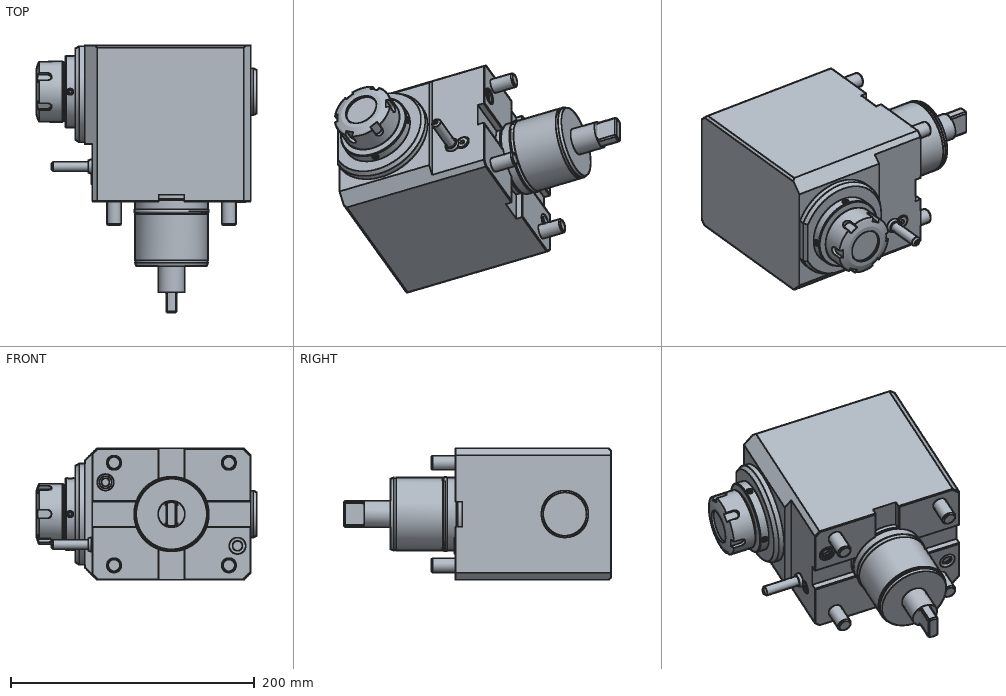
import cadquery as cq
import math


height = 108.0
half_height = height / 2
depth = 128.0
half_width = 65.0
shoulder_x = -71.0
shoulder_y = 47.0
left_chamfer = 10.0
right_chamfer = 6.0
back_chamfer = 2.0
face_chamfer = 0.7
key_width = 20.5
key_depth = 5.7

bolt_x = 47.0
bolt_z = 42.0
bolt_radius = 6.0
bolt_length = 19.5
bolt_chamfer = 1.0

port_x = 54.0
port_z = 26.0
port_rim_radius = 6.8
port_steps = [(port_rim_radius, 0.5), (5.0, 2.2), (3.3, 4.4)]
seal_radius = 5.5
seal_section = 1.42
seal_sink = 0.7
seal_port_depth = 4.4

coupling_radius = 30.0
coupling_end = -53.0
coupling_end_taper = 1.0
collar_chamfer_start = 2.2
collar_end = 1.0
collar_chamfer_height = 0.9
seal_groove = (-6.4, -10.3)
seal_groove_radius = 27.4
ring_section = 1.65
ring_center_y = -7.9
ring_outer_radius = 30.7
clip_groove = (-48.2, -50.4)
clip_groove_depth = 0.5

shaft_radius = 11.0
shaft_end = -74.5
total_length = 219
tang_end = depth - total_length
tang_radius = 10.7
tang_thickness = 8.8
tang_chamfer = 1.0
tang_root_fillet = 0.9

chuck_y = 90.0
flange_x = -79.0
flange_radius = 41.6
flange_flat_inset = 0.5
flange_flat_y = depth - flange_flat_inset
flange_chamfer_length = 3.5
flange_chamfer_height = 2.2
ring_x = -87.0
ring_radius = 29.5
ring_chamfer = 0.7
neck_radius = 20.5
nut_back_x = -88.5
grub_x = (flange_x + ring_x) / 2
grub_count = 4
grub_radius = 2.6
grub_socket_radius = 1.3
grub_recess = 0.7
grub_socket_depth = 2.2

nut_face_x = -111.0
nut_radius = 25.0
nut_rim_radius = 23.5
nut_rim_x = -109.3
nut_edge_chamfer = 0.9
nut_face_radius = 18.0
nut_mouth_radius = 13.8
nut_mouth_depth = 2.0
slot_count = 6
slot_width = 7.0
slot_end_x = -98.3
slot_floor_radius = 21.7

cap_x = 70.0
cap_radius = 19.3
cap_chamfer_length = 2.8
cap_chamfer_height = 1.5

nozzle_z = -25.0
nozzle_y = 28.7
nozzle_tip_x = -98.5
nozzle_radius = 4.0
nozzle_tip_chamfer = 1.8
nozzle_bore_radius = 2.0
nozzle_bore_depth = 2.2
nozzle_ball_radius = 6.0
nozzle_collar = 3.0
plug_y = 19.5
plug_radius = 5.7
plug_top_radius = 4.8
plug_height = 0.7
plug_hole_radius = 1.65
seat_depth = 2.2
seat_x = seat_depth - half_width


def turned_x(points, y=chuck_y, z=0):
    """Solid of revolution about an axis along X; points are (x, radius)."""
    profile = cq.Workplane("XY").polyline([(points[0][0], 0), *points, (points[-1][0], 0)]).close()
    return profile.revolve(360, (0, 0, 0), (1, 0, 0)).translate((0, y, z))


def turned_y(points, x=0, z=0):
    """Solid of revolution about an axis along Y; points are (radius, y)."""
    profile = cq.Workplane("XY").polyline([(0, points[0][1]), *points, (0, points[-1][1])]).close()
    return profile.revolve(360, (0, 0, 0), (0, 1, 0)).translate((x, 0, z))


def torus_y(radius, section, x, y, z):
    """Seal ring about an axis along Y."""
    return cq.Workplane(cq.Solid.makeTorus(radius, section, cq.Vector(x, y, z), cq.Vector(0, 1, 0)))


def box_between(low, high):
    """Box spanned by two opposite corners."""
    size = [b - a for a, b in zip(low, high)]
    return cq.Workplane("XY").box(*size, centered=False).translate(low)


def make_block():
    """Chamfered block with a shoulder on the left and crossed keyways in the mounting face."""
    block = box_between((shoulder_x, 0, -half_height), (half_width, depth, half_height))
    block = block.edges("|Y and <X").chamfer(left_chamfer)
    block = block.edges("|Y and >X").chamfer(right_chamfer)
    block = block.faces(">Y").edges("|X").chamfer(back_chamfer)
    block = block.cut(box_between((shoulder_x, 0, -half_height), (-half_width, shoulder_y, half_height)))
    half_key = key_width / 2
    block = block.cut(box_between((shoulder_x, 0, -half_key), (half_width, key_depth, half_key)))
    block = block.cut(box_between((-half_key, 0, -half_height), (half_key, key_depth, half_height)))
    return block.faces("<Y").edges().chamfer(face_chamfer)


def make_bolts():
    """Four bolt ends standing out of the mounting face."""
    bolt = turned_y([
        (bolt_radius, key_depth),
        (bolt_radius, bolt_chamfer - bolt_length),
        (bolt_radius - bolt_chamfer, -bolt_length),
    ])
    bolts = cq.Workplane("XY")
    for x in (-bolt_x, bolt_x):
        for z in (-bolt_z, bolt_z):
            bolts = bolts.add(bolt.translate((x, 0, z)))
    return bolts.combine()


def add_ports(body):
    """Open stepped port at the upper left, port with a seal ring at the lower right."""
    for radius, port_depth in port_steps:
        body = body.cut(turned_y([(radius, 0), (radius, port_depth)], -port_x, port_z))
    body = body.cut(turned_y([(seal_radius, 0), (seal_radius, seal_port_depth)], port_x, -port_z))
    return body.union(torus_y(seal_radius, seal_section, port_x, seal_sink, -port_z))


def make_coupling():
    """Round coupling with a seal ring in its groove, a clip groove and a tapered end."""
    groove_start, groove_end = seal_groove
    clip_start, clip_end = clip_groove
    clip_radius = coupling_radius - clip_groove_depth
    coupling = turned_y([
        (coupling_radius, key_depth),
        (coupling_radius, collar_chamfer_start),
        (coupling_radius - collar_chamfer_height, collar_end),
        (coupling_radius, collar_end),
        (coupling_radius, groove_start),
        (seal_groove_radius, groove_start),
        (seal_groove_radius, groove_end),
        (coupling_radius, groove_end),
        (coupling_radius, clip_start),
        (clip_radius, clip_start),
        (clip_radius, clip_end),
        (coupling_radius, clip_end),
        (coupling_radius - coupling_end_taper, coupling_end),
    ])
    return coupling.union(torus_y(ring_outer_radius - ring_section, ring_section, 0, ring_center_y, 0))


def make_shaft():
    """Drive shaft ending in a chamfered tang with filleted roots."""
    shaft = turned_y([(shaft_radius, coupling_end), (shaft_radius, shaft_end)])
    half_tang = tang_thickness / 2
    tang = turned_y([(tang_radius, shaft_end), (tang_radius, tang_end)])
    tang = tang.intersect(box_between(
        (-half_tang, tang_end, -tang_radius),
        (half_tang, shaft_end, tang_radius),
    ))
    tang = tang.edges("|Y or <Y").chamfer(tang_chamfer)
    shaft = shaft.union(tang)
    root_edges = cq.selectors.BoxSelector(
        (-half_tang - tang_root_fillet, shaft_end - tang_root_fillet, -shaft_radius),
        (half_tang + tang_root_fillet, shaft_end + tang_root_fillet, shaft_radius),
    )
    return shaft.edges("|Z").edges(root_edges).fillet(tang_root_fillet)


def make_spindle():
    """Flange with a flat near the housing back, grub screw ring and neck."""
    flange = turned_x([(-half_width, flange_radius), (flange_x, flange_radius)])
    flat_cut = box_between(
        (flange_x, flange_flat_y, -flange_radius),
        (-half_width, chuck_y + flange_radius, flange_radius),
    )
    flange = flange.cut(flat_cut)
    flange = flange.faces("<X").edges().chamfer(flange_chamfer_length, flange_chamfer_height)
    ring = turned_x([
        (flange_x, ring_radius),
        (ring_x + ring_chamfer, ring_radius),
        (ring_x, ring_radius - ring_chamfer),
    ])
    for index in range(grub_count):
        angle = index * 360 / grub_count
        for radius, hole_depth in ((grub_radius, grub_recess), (grub_socket_radius, grub_socket_depth)):
            hole = cq.Workplane("XY").circle(radius).extrude(-hole_depth)
            hole = hole.translate((grub_x, chuck_y, ring_radius))
            ring = ring.cut(hole.rotate((0, chuck_y, 0), (1, chuck_y, 0), angle))
    neck = turned_x([(ring_x, neck_radius), (nut_back_x, neck_radius)])
    return flange.union(ring).union(neck)


def make_cap():
    """Chamfered round cap on the right side."""
    return turned_x([
        (half_width, cap_radius),
        (cap_x - cap_chamfer_length, cap_radius),
        (cap_x, cap_radius - cap_chamfer_height),
    ])


def make_nozzle():
    """Coolant pipe standing on a truncated ball."""
    pipe = turned_x([
        (-half_width, nozzle_radius),
        (nozzle_tip_x + nozzle_tip_chamfer, nozzle_radius),
        (nozzle_tip_x, nozzle_radius - nozzle_tip_chamfer),
    ], nozzle_y, nozzle_z)
    bore = turned_x([
        (nozzle_tip_x, nozzle_bore_radius),
        (nozzle_tip_x + nozzle_bore_depth, nozzle_bore_radius),
    ], nozzle_y, nozzle_z)
    collar_x = -half_width - nozzle_collar
    collar_radius = math.sqrt(nozzle_ball_radius ** 2 - nozzle_collar ** 2)
    half_angle = math.asin(nozzle_collar / nozzle_ball_radius) / 2
    arc_middle = (
        -half_width - nozzle_ball_radius * math.sin(half_angle),
        nozzle_ball_radius * math.cos(half_angle),
    )
    ball = (
        cq.Workplane("XY")
        .moveTo(seat_x, 0)
        .lineTo(seat_x, nozzle_ball_radius)
        .lineTo(-half_width, nozzle_ball_radius)
        .threePointArc(arc_middle, (collar_x, collar_radius))
        .lineTo(collar_x, 0)
        .close()
        .revolve(360, (0, 0, 0), (1, 0, 0))
        .translate((0, nozzle_y, nozzle_z))
    )
    return pipe.cut(bore).union(ball)


def add_plug(body):
    """Low conical plug with a centre hole, beside the nozzle."""
    plug = turned_x([
        (seat_x, plug_radius),
        (-half_width, plug_radius),
        (-half_width - plug_height, plug_top_radius),
    ], plug_y, nozzle_z)
    hole = turned_x([
        (seat_x, plug_hole_radius),
        (-half_width - plug_height, plug_hole_radius),
    ], plug_y, nozzle_z)
    return body.union(plug).cut(hole)


def make_housing():
    """Housing with everything that is fixed to it."""
    body = add_plug(add_ports(make_block()))
    for part in (make_bolts(), make_coupling(), make_shaft(), make_spindle(), make_cap(), make_nozzle()):
        body = body.union(part)
    return body


def make_nut():
    """Clamping nut with a conical front, a shallow mouth and wrench slots round its rim."""
    nut = turned_x([
        (nut_back_x, nut_radius - nut_edge_chamfer),
        (nut_back_x - nut_edge_chamfer, nut_radius),
        (nut_rim_x + nut_edge_chamfer, nut_radius),
        (nut_rim_x, nut_rim_radius),
        (nut_face_x, nut_face_radius),
    ])
    nut = nut.cut(turned_x([
        (nut_face_x, nut_mouth_radius),
        (nut_face_x + nut_mouth_depth, nut_mouth_radius),
    ]))
    end_center_x = slot_end_x - slot_width / 2
    slot = (
        cq.Workplane("XZ")
        .moveTo(nut_face_x, slot_width / 2)
        .lineTo(end_center_x, slot_width / 2)
        .threePointArc((slot_end_x, 0), (end_center_x, -slot_width / 2))
        .lineTo(nut_face_x, -slot_width / 2)
        .close()
        .extrude(nut_radius - slot_floor_radius)
        .translate((0, chuck_y - slot_floor_radius, 0))
    )
    for index in range(slot_count):
        nut = nut.cut(slot.rotate((0, chuck_y, 0), (1, chuck_y, 0), index * 360 / slot_count))
    return nut


housing = make_housing()
nut = make_nut()
result = cq.Compound.makeCompound([housing.solids().val(), nut.solids().val()])